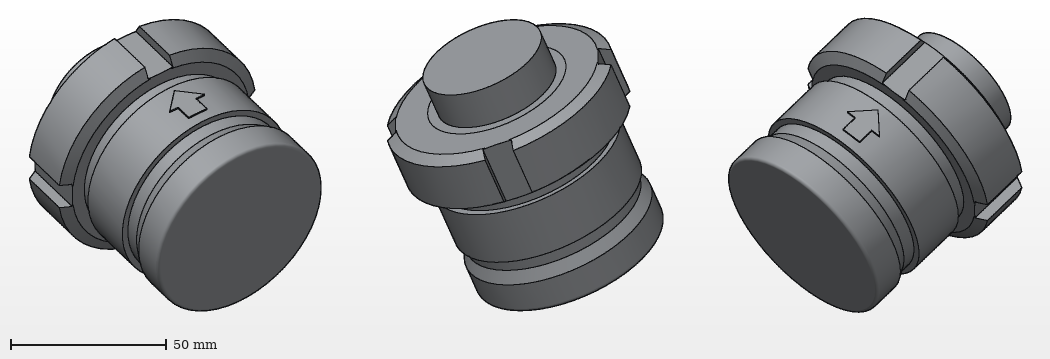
import cadquery as cq

LENGTH = 78.0
X_START = -LENGTH / 2
X_END = LENGTH / 2
NUT_START = X_START + 13.0
NUT_WIDTH = 20.9
NUT_END = NUT_START + NUT_WIDTH
NECK_WIDTH = 5.1
BAND_START = NUT_END + NECK_WIDTH
BAND_WIDTH = 19.0
BAND_END = BAND_START + BAND_WIDTH
CONE_START = BAND_END + 4.8
CONE_LENGTH = 4.2
CONE_END = CONE_START + CONE_LENGTH

SPIGOT_RADIUS = 20.5
COLLAR_RADIUS = 23.95
NECK_RADIUS = 30.35
BAND_RADIUS = 32.5
NUT_RADIUS = 39.0

END_FILLET = 1.2
NUT_CHAMFER_LENGTH = 2.1
NUT_CHAMFER_DEPTH = 4.0

SLOT_COUNT = 4
SLOT_WIDTH = 9.75
SLOT_FLOOR = 35.0

ARROW_TIP = BAND_START + 2.35
ARROW_LENGTH = 12.95
ARROW_HEAD_LENGTH = 7.1
ARROW_HEAD_WIDTH = 13.9
ARROW_SHAFT_WIDTH = 7.2
ARROW_SINK = 0.1
ARROW_TOP = 33.0


def revolve_about_x(points):
    """Turn an (x, radius) outline around the X axis."""
    return cq.Workplane("XY").polyline(points).close().revolve(360, (0, 0, 0), (1, 0, 0))


def make_arrow():
    """Thin flat arrow plate that lies along the top of the band and is slightly sunk into it."""
    shoulder = ARROW_TIP + ARROW_HEAD_LENGTH
    tail = ARROW_TIP + ARROW_LENGTH
    half_head = ARROW_HEAD_WIDTH / 2
    half_shaft = ARROW_SHAFT_WIDTH / 2
    sunk_height = BAND_RADIUS - ARROW_SINK
    return (
        cq.Workplane("XY", origin=(0, 0, sunk_height))
        .moveTo(ARROW_TIP, 0)
        .lineTo(shoulder, half_head)
        .lineTo(shoulder, half_shaft)
        .lineTo(tail, half_shaft)
        .lineTo(tail, -half_shaft)
        .lineTo(shoulder, -half_shaft)
        .lineTo(shoulder, -half_head)
        .close()
        .extrude(ARROW_TOP - sunk_height)
    )


def make_valve_body():
    """Turned body: spigot, collar inside the nut, neck, band, cone and end flange."""
    outline = [
        (X_START, 0),
        (X_START, SPIGOT_RADIUS),
        (NUT_START, SPIGOT_RADIUS),
        (NUT_START, COLLAR_RADIUS),
        (NUT_END, COLLAR_RADIUS),
        (NUT_END, NECK_RADIUS),
        (BAND_START, NECK_RADIUS),
        (BAND_START, BAND_RADIUS),
        (BAND_END, BAND_RADIUS),
        (BAND_END, NECK_RADIUS),
        (CONE_START, NECK_RADIUS),
        (CONE_END, BAND_RADIUS),
        (X_END, BAND_RADIUS),
        (X_END, 0),
    ]
    turned = revolve_about_x(outline).faces(">X").edges().fillet(END_FILLET)
    return turned.union(make_arrow())


def make_nut():
    """Ring nut around the collar, chamfered on both rims and slotted for a spanner."""
    rim_radius = NUT_RADIUS - NUT_CHAMFER_DEPTH
    nut = revolve_about_x([
        (NUT_START, COLLAR_RADIUS),
        (NUT_START, rim_radius),
        (NUT_START + NUT_CHAMFER_LENGTH, NUT_RADIUS),
        (NUT_END - NUT_CHAMFER_LENGTH, NUT_RADIUS),
        (NUT_END, rim_radius),
        (NUT_END, COLLAR_RADIUS),
    ])
    slot_height = 2 * (NUT_RADIUS - SLOT_FLOOR)
    slot = cq.Workplane("XY").box(
        NUT_WIDTH, SLOT_WIDTH, slot_height, centered=(False, True, False)
    ).translate((NUT_START, 0, SLOT_FLOOR))
    for index in range(SLOT_COUNT):
        nut = nut.cut(slot.rotate((0, 0, 0), (1, 0, 0), index * 360 / SLOT_COUNT))
    return nut


valve_body = make_valve_body()
nut = make_nut()

result = cq.Compound.makeCompound([valve_body.val(), nut.val()])